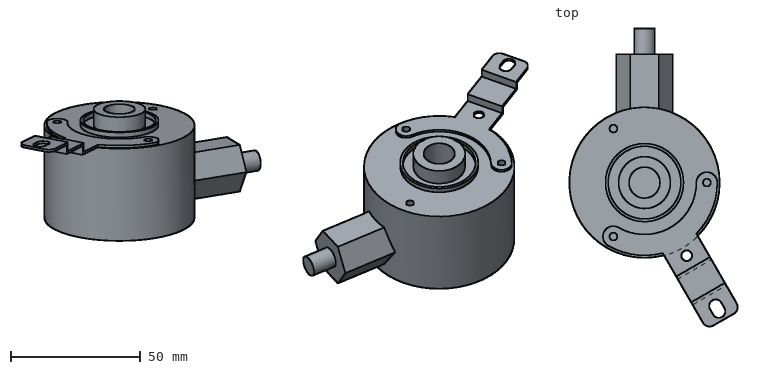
import cadquery as cq
import math

body_diameter = 58.0
body_radius = body_diameter / 2
body_height = 37.5

collar_radius = 15.0
collar_inner_radius = 14.0
collar_height = 2.0
hub_radius = 10.0
hub_height = 6.5
bore_radius = 6.0
bore_depth = 23.0

gland_flats = 19.0
gland_corners = gland_flats / math.cos(math.pi / 6)
gland_end = 49.5
gland_z = 14.0
cable_radius = 4.0
cable_end = 59.4

screw_circle_radius = 24.0
screw_hole_radius = 1.5
screw_hole_depth = 5.7
screw_angles = (0, 120, 240)

sheet = 1.0
strap_width = 8.0
strap_start_angle = -120
strap_end_angle = 0
tab_angle = (strap_start_angle + strap_end_angle) / 2
tab_width = 15.0
overall_height = 45.5
step_rise = (overall_height - body_height - sheet) / 2
first_step = 37.5
second_step = 48.9
tab_end = 61.0
tab_corner_radius = 3.0
tab_hole_position = 32.5
tab_hole_diameter = 4.0
slot_position = 56.1
slot_width = 4.9
slot_length = 7.4


def cylinder(radius, bottom, height):
    return cq.Workplane("XY").workplane(offset=bottom).circle(radius).extrude(height)


def polar(radius, angle):
    radians = math.radians(angle)
    return radius * math.cos(radians), radius * math.sin(radians)


def make_housing():
    top = body_height
    housing = cylinder(body_radius, 0, body_height).union(cylinder(collar_radius, top, collar_height))
    recess = cylinder(collar_inner_radius, top, collar_height)
    housing = housing.cut(recess).union(cylinder(hub_radius, top, hub_height))
    return housing.cut(cylinder(bore_radius, top + hub_height - bore_depth, bore_depth))


def make_gland():
    plane = cq.Plane(origin=(0, 0, gland_z), xDir=(1, 0, 0), normal=(0, 1, 0))
    start = body_radius / 2
    base = cq.Workplane(plane).workplane(offset=start)
    gland = base.polygon(6, gland_corners).extrude(gland_end - start)
    cable = base.circle(cable_radius).extrude(cable_end - start)
    return gland.union(cable)


def make_strap():
    inner = screw_circle_radius - strap_width / 2
    outer = screw_circle_radius + strap_width / 2
    end_x, end_y = polar(screw_circle_radius, strap_end_angle)
    start_x, start_y = polar(screw_circle_radius, strap_start_angle)
    end_tip = (end_x, end_y + strap_width / 2)
    tip_dx, tip_dy = polar(strap_width / 2, strap_start_angle - 90)
    start_tip = (start_x + tip_dx, start_y + tip_dy)
    return (
        cq.Workplane("XY").workplane(offset=body_height)
        .moveTo(*polar(outer, strap_start_angle))
        .threePointArc(polar(outer, tab_angle), polar(outer, strap_end_angle))
        .threePointArc(end_tip, polar(inner, strap_end_angle))
        .threePointArc(polar(inner, tab_angle), polar(inner, strap_start_angle))
        .threePointArc(start_tip, polar(outer, strap_start_angle))
        .close()
        .extrude(sheet)
    )


def make_tab():
    tab = (
        cq.Workplane("XZ", origin=(0, tab_width / 2, body_height))
        .moveTo(screw_circle_radius, 0)
        .lineTo(first_step + sheet, 0)
        .lineTo(first_step + sheet, step_rise)
        .lineTo(second_step + sheet, step_rise)
        .lineTo(second_step + sheet, 2 * step_rise)
        .lineTo(tab_end, 2 * step_rise)
        .lineTo(tab_end, 2 * step_rise + sheet)
        .lineTo(second_step, 2 * step_rise + sheet)
        .lineTo(second_step, step_rise + sheet)
        .lineTo(first_step, step_rise + sheet)
        .lineTo(first_step, sheet)
        .lineTo(screw_circle_radius, sheet)
        .close()
        .extrude(tab_width)
    )
    tab = tab.faces(">X").edges("|Z").fillet(tab_corner_radius)
    openings = cq.Workplane("XY").workplane(offset=body_height)
    tab_height = 2 * step_rise + sheet
    hole = openings.center(tab_hole_position, 0).circle(tab_hole_diameter / 2).extrude(tab_height)
    slot = openings.center(slot_position, 0).slot2D(slot_length, slot_width).extrude(tab_height)
    tab = tab.cut(hole).cut(slot)
    return tab.rotate((0, 0, 0), (0, 0, 1), tab_angle)


def make_screw_holes():
    return (
        cq.Workplane("XY").workplane(offset=body_height + sheet)
        .pushPoints([polar(screw_circle_radius, angle) for angle in screw_angles])
        .circle(screw_hole_radius)
        .extrude(-(sheet + screw_hole_depth))
    )


bracket = make_strap().union(make_tab())
result = make_housing().union(make_gland()).union(bracket).cut(make_screw_holes())